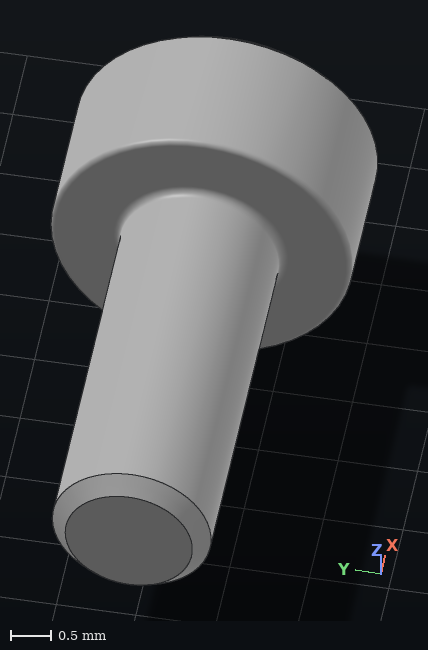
import cadquery as cq

shank_diameter = 2.0
shank_length = 5.0
tip_chamfer = 0.2

head_diameter = 3.8
head_height = 2.0
head_top_chamfer = 0.2
head_bearing_edge_radius = 0.07

neck_fillet_radius = 0.1


def cylinder_along_x(diameter, start_x, length):
    """Solid cylinder on the X axis, running from start_x toward +X."""
    return cq.Workplane("YZ", origin=(start_x, 0, 0)).circle(diameter / 2).extrude(length)


def make_shank():
    """Plain shank ending at the bearing face, with a chamfered tip."""
    shank = cylinder_along_x(shank_diameter, -shank_length, shank_length)
    return shank.faces("<X").chamfer(tip_chamfer)


def make_head():
    """Cylindrical head: chamfered top edge, rounded bearing-side edge."""
    head = cylinder_along_x(head_diameter, 0, head_height)
    head = head.faces(">X").chamfer(head_top_chamfer)
    return head.faces("<X").edges().fillet(head_bearing_edge_radius)


def fillet_neck(screw):
    """Round the inside corner where the shank meets the bearing face."""
    bearing_face = screw.faces("%PLANE").faces("<X[1]")
    neck_edge = bearing_face.edges(cq.selectors.RadiusNthSelector(0))
    return neck_edge.fillet(neck_fillet_radius)


result = fillet_neck(make_shank().union(make_head()))